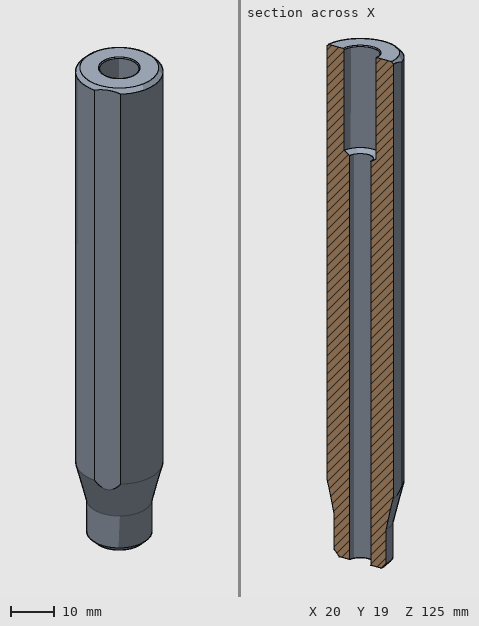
import cadquery as cq
import math

LENGTH = 125.0
BODY_RADIUS = 10.0
FLAT_DISTANCE = 9.5

NECK_RADIUS = 7.5
NECK_LENGTH = 10.0
TAPER_LENGTH = 10.0
NECK_CHAMFER = 1.5
TOP_CHAMFER = 1.0

BORE_RADIUS = 4.5
BORE_DEPTH = 25.0
BORE_EDGE_CHAMFER = 0.2
THROUGH_RADIUS = 3.0
DRILL_POINT_ANGLE = 118.0


def revolve_about_z(profile):
    """Turn a closed outline of (radius, height) points about the Z axis."""
    return cq.Workplane("XZ").polyline(profile).close().revolve(360, (0, 0), (0, 1))


def turned_blank():
    return revolve_about_z([
        (0, 0),
        (NECK_RADIUS - NECK_CHAMFER, 0),
        (NECK_RADIUS, NECK_CHAMFER),
        (NECK_RADIUS, NECK_LENGTH),
        (BODY_RADIUS, NECK_LENGTH + TAPER_LENGTH),
        (BODY_RADIUS, LENGTH - TOP_CHAMFER),
        (BODY_RADIUS - TOP_CHAMFER, LENGTH),
        (0, LENGTH),
    ])


def bore_cutter():
    cone_top = LENGTH - BORE_DEPTH
    half_angle = math.radians(DRILL_POINT_ANGLE / 2)
    cone_height = (BORE_RADIUS - THROUGH_RADIUS) / math.tan(half_angle)
    return revolve_about_z([
        (0, 0),
        (THROUGH_RADIUS, 0),
        (THROUGH_RADIUS, cone_top - cone_height),
        (BORE_RADIUS, cone_top),
        (BORE_RADIUS, LENGTH - BORE_EDGE_CHAMFER),
        (BORE_RADIUS + BORE_EDGE_CHAMFER, LENGTH),
        (0, LENGTH),
    ])


def between_flats():
    """Block whose front and back faces are the two flats on the handle."""
    block = cq.Workplane("XY").rect(2 * BODY_RADIUS, 2 * FLAT_DISTANCE)
    return block.extrude(LENGTH)


def make_handle():
    return turned_blank().intersect(between_flats()).cut(bore_cutter())


handle = make_handle()
result = cq.Compound.makeCompound([handle.val()])